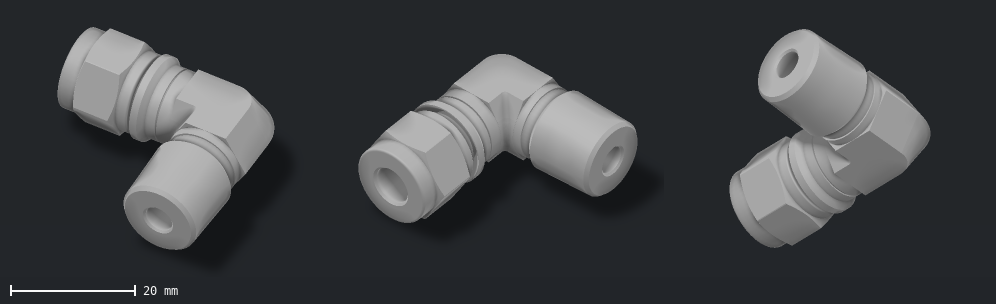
import cadquery as cq
import math


elbow_flats = 12.7
elbow_corner = elbow_flats / math.sqrt(3)
elbow_half_side = elbow_corner / 2
elbow_arm = 7.6
inner_fillet = 0.8

tube_end = 27.65
collar_dia = 12.6
groove_dia = 12.0
groove_start = 9.8
groove_end = 10.15
flange_dia = 14.6
flange_cone_start = 11.9
flange_cone_end = flange_cone_start + (flange_dia - collar_dia) / 2
flange_end = 14.2
neck_dia = 11.11
neck_relief_dia = 9.4
neck_edge_dia = 10.1
neck_chamfer_start = 13.6
neck_relief_start = neck_chamfer_start - (neck_dia - neck_edge_dia) / 2
recess_dia = 14.1
recess_depth = (recess_dia - neck_relief_dia) / 2

nut_skirt_dia = 13.6
nut_skirt_start = 15.05
nut_skirt_fillet = 0.25
nut_hex_start = 17.0
nut_hex_end = 24.6
nut_hex_flats = 14.29
nut_hex_turned_dia = 16.4
nut_hex_chamfer_angle = 26
nut_nose_dia = 13.9
nut_nose_fillet = 0.4

thread_end = 23.3
shoulder_dia = collar_dia
shoulder_end = 9.1
relief_dia = 12.0
relief_end = 10.75
thread_dia = 14.0
thread_start = relief_end + (thread_dia - relief_dia) / 2
thread_taper = 1 / 16
thread_tip_dia = 12.15
thread_chamfer_length = 0.65
thread_chamfer_station = thread_end - thread_chamfer_length
thread_small_dia = thread_dia - thread_taper * (thread_chamfer_station - thread_start)

flow_dia = 4.83
flow_mouth_dia = 5.5
tube_bore_dia = 6.55
tube_bore_mouth_dia = 7.3
tube_bore_depth = 15.2

tube_plane = cq.Plane(origin=(0, 0, 0), xDir=(0, 1, 0), normal=(-1, 0, 0))
thread_plane = cq.Plane(origin=(0, 0, 0), xDir=(1, 0, 0), normal=(0, -1, 0))


def profile_sketch(plane):
    """Workplane for half profiles: local X is the radius, local Y the distance along the plane normal."""
    return cq.Workplane(cq.Plane(origin=(0, 0, 0), xDir=plane.xDir, normal=plane.xDir.cross(plane.zDir)))


def turned(plane, stations):
    """Solid of revolution about the plane normal, from (distance, diameter) pairs."""
    first_distance = stations[0][0]
    last_distance = stations[-1][0]
    outline = [(0, first_distance)]
    outline += [(diameter / 2, distance) for distance, diameter in stations]
    outline += [(0, last_distance)]
    return profile_sketch(plane).polyline(outline).close().revolve(360, (0, 0), (0, 1))


def elbow_arm_solid(plane):
    """Hexagonal arm with its outer corner on the plane's +X side and a rounded inner corner."""
    half_height = elbow_flats / 2
    tangent_x = -half_height * math.cos(math.radians(30))
    tangent_y = half_height * math.sin(math.radians(30))
    return (
        cq.Workplane(plane)
        .moveTo(elbow_corner, 0)
        .lineTo(elbow_half_side, half_height)
        .lineTo(-elbow_half_side, half_height)
        .lineTo(tangent_x, tangent_y)
        .threePointArc((-half_height, 0), (tangent_x, -tangent_y))
        .lineTo(-elbow_half_side, -half_height)
        .lineTo(elbow_half_side, -half_height)
        .close()
        .extrude(elbow_arm)
    )


def elbow():
    """Two arms joined by the outer half of the hexagon swept about Z, with a filleted inner corner."""
    half_height = elbow_flats / 2
    outer_corner = (
        cq.Workplane("XZ")
        .polyline([
            (0, -half_height),
            (elbow_half_side, -half_height),
            (elbow_corner, 0),
            (elbow_half_side, half_height),
            (0, half_height),
        ])
        .close()
        .revolve(360, (0, 0), (0, 1))
    )
    body = elbow_arm_solid(tube_plane).union(elbow_arm_solid(thread_plane)).union(outer_corner)
    miter_reach = elbow_corner
    miter_half_width = 0.1
    miter_box = cq.selectors.BoxSelector(
        (-miter_reach, -miter_reach, -elbow_flats / 2 + miter_half_width),
        (-elbow_half_side, -elbow_half_side, elbow_flats / 2 - miter_half_width),
    )
    return body.edges(miter_box).fillet(inner_fillet)


def tube_arm():
    """Grooved collar, coned flange and the neck that enters the nut."""
    return turned(tube_plane, [
        (0, neck_dia),
        (elbow_arm, neck_dia),
        (elbow_arm, collar_dia),
        (groove_start, collar_dia),
        (groove_start, groove_dia),
        (groove_end, groove_dia),
        (groove_end, collar_dia),
        (flange_cone_start, collar_dia),
        (flange_cone_end, flange_dia),
        (flange_end, flange_dia),
        (flange_end, neck_dia),
        (nut_hex_start, neck_dia),
    ]).cut(flange_recess())


def flange_recess():
    """Conical dish in the flange's end face, running down into the undercut of the neck."""
    neck_radius = neck_dia / 2
    relief_radius = neck_relief_dia / 2
    return (
        profile_sketch(tube_plane)
        .moveTo(neck_radius, flange_end)
        .lineTo(recess_dia / 2, flange_end)
        .lineTo(relief_radius, flange_end - recess_depth)
        .lineTo(relief_radius, neck_relief_start)
        .lineTo(neck_edge_dia / 2, neck_relief_start)
        .lineTo(neck_radius, neck_chamfer_start)
        .close()
        .revolve(360, (0, 0), (0, 1))
    )


def nut():
    """Hexagon with turned chamfers at both ends, between a skirt and a nose."""
    hexagon = (
        cq.Workplane(tube_plane)
        .workplane(offset=nut_hex_start)
        .polygon(6, nut_hex_flats / math.cos(math.radians(30)))
        .extrude(nut_hex_end - nut_hex_start)
    )
    chamfer_slope = math.tan(math.radians(nut_hex_chamfer_angle))
    skirt_chamfer = (nut_hex_turned_dia - nut_skirt_dia) / 2 * chamfer_slope
    nose_chamfer = (nut_hex_turned_dia - nut_nose_dia) / 2 * chamfer_slope
    envelope = turned(tube_plane, [
        (nut_hex_start, nut_skirt_dia),
        (nut_hex_start + skirt_chamfer, nut_hex_turned_dia),
        (nut_hex_end - nose_chamfer, nut_hex_turned_dia),
        (nut_hex_end, nut_nose_dia),
    ])
    skirt = turned(tube_plane, [
        (nut_skirt_start, nut_skirt_dia),
        (nut_hex_start, nut_skirt_dia),
    ]).edges(">X").fillet(nut_skirt_fillet)
    nose = turned(tube_plane, [
        (nut_hex_end, nut_nose_dia),
        (tube_end, nut_nose_dia),
    ]).edges("<X").fillet(nut_nose_fillet)
    return hexagon.intersect(envelope).union(skirt).union(nose)


def thread_arm():
    """Shoulder, relief and tapered thread blank with a chamfered tip."""
    return turned(thread_plane, [
        (0, relief_dia),
        (elbow_arm, relief_dia),
        (elbow_arm, shoulder_dia),
        (shoulder_end, shoulder_dia),
        (shoulder_end, relief_dia),
        (relief_end, relief_dia),
        (thread_start, thread_dia),
        (thread_chamfer_station, thread_small_dia),
        (thread_end, thread_tip_dia),
    ])


def bores():
    """Flow passage with a spherical turn, the tube socket and the mouth chamfers."""
    flow_chamfer = (flow_mouth_dia - flow_dia) / 2
    socket_chamfer = (tube_bore_mouth_dia - tube_bore_dia) / 2
    socket_floor = tube_end - tube_bore_depth
    tube_side = turned(tube_plane, [
        (0, flow_dia),
        (socket_floor, flow_dia),
        (socket_floor, tube_bore_dia),
        (tube_end - socket_chamfer, tube_bore_dia),
        (tube_end, tube_bore_mouth_dia),
    ])
    thread_side = turned(thread_plane, [
        (0, flow_dia),
        (thread_end - flow_chamfer, flow_dia),
        (thread_end, flow_mouth_dia),
    ])
    turn = cq.Workplane("XY").sphere(flow_dia / 2)
    return tube_side.union(thread_side).union(turn)


result = elbow().union(tube_arm()).union(nut()).union(thread_arm()).cut(bores())